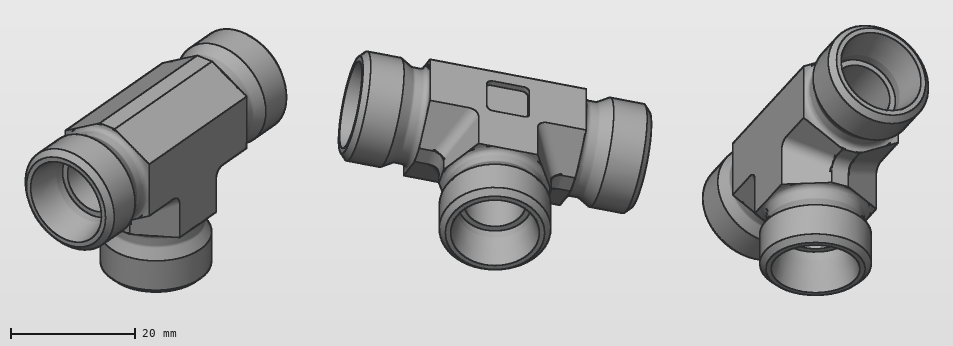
import cadquery as cq
import math

ARM_REACH = 24.0
BODY_REACH = 13.0

ACROSS_FLATS = 17.0
CORNER_FLAT_HEIGHT = 8.95
CROTCH_RADIUS = 2.0

THREAD_RADIUS = 18.0 / 2
THREAD_START = 17.45
END_CHAMFER = 1.0
NECK_RADIUS = 15.7 / 2
NECK_CONE_ANGLE = 30.0
NECK_CONE_FILLET = 0.8
SHOULDER_FILLET = 1.0

BORE_RADIUS = 10.0 / 2
SOCKET_RADIUS = 12.0 / 2
SOCKET_DEPTH = 7.0
CONE_MOUTH_RADIUS = 14.3 / 2
SEAT_HALF_ANGLE = 12.0

RECESS_SIZE = 7.1
RECESS_CORNER_RADIUS = 1.0
RECESS_DEPTH = 1.0
RECESS_CENTER_Z = -1.0

HALF_FLATS = ACROSS_FLATS / 2
SHOULDER_END = BODY_REACH + SHOULDER_FILLET
ORIGIN = (0, 0, 0)
LOCAL_AXIS_END = (0, 1, 0)
TOLERANCE = 1e-4


def hex_prism(length):
    """Hexagon with flats at +-X and truncated corners at +-Y, standing from Z = 0 upwards."""
    tan_30 = math.tan(math.radians(30))
    corner = HALF_FLATS / math.cos(math.radians(30))
    flat_edge = HALF_FLATS * tan_30
    corner_half_width = (corner - CORNER_FLAT_HEIGHT) / tan_30
    quarter = [(HALF_FLATS, flat_edge), (corner_half_width, CORNER_FLAT_HEIGHT)]
    upper = quarter + [(-x, y) for x, y in reversed(quarter)]
    lower = [(-x, -y) for x, y in upper]
    return cq.Workplane("XY").polyline(upper + lower).close().extrude(length)


def revolve_upright(profile):
    """Revolve a closed XZ half profile about the Z axis."""
    return profile.close().revolve(360, ORIGIN, LOCAL_AXIS_END)


def threaded_end():
    """Outside of one arm from the body end face outwards, pointing along +Z."""
    slope = math.radians(NECK_CONE_ANGLE)
    cone_start = THREAD_START - (THREAD_RADIUS - NECK_RADIUS) / math.tan(slope)
    tangent = NECK_CONE_FILLET * math.tan(slope / 2)
    fillet_bulge = NECK_CONE_FILLET * (1 - math.cos(slope / 2))
    fillet_mid = cone_start - tangent + NECK_CONE_FILLET * math.sin(slope / 2)
    fillet_end = cone_start + tangent * math.cos(slope)
    profile = (
        cq.Workplane("XZ")
        .moveTo(0, BODY_REACH)
        .lineTo(NECK_RADIUS, BODY_REACH)
        .lineTo(NECK_RADIUS, cone_start - tangent)
        .threePointArc(
            (NECK_RADIUS + fillet_bulge, fillet_mid),
            (NECK_RADIUS + tangent * math.sin(slope), fillet_end),
        )
        .lineTo(THREAD_RADIUS, THREAD_START)
        .lineTo(THREAD_RADIUS, ARM_REACH - END_CHAMFER)
        .lineTo(THREAD_RADIUS - END_CHAMFER, ARM_REACH)
        .lineTo(0, ARM_REACH)
    )
    return revolve_upright(profile)


def shoulder():
    """Flared fillet on the body end face, trimmed to the hexagon, pointing along +Z."""
    inset = SHOULDER_FILLET * (1 - math.sqrt(0.5))
    profile = (
        cq.Workplane("XZ")
        .moveTo(0, BODY_REACH)
        .lineTo(NECK_RADIUS + SHOULDER_FILLET, BODY_REACH)
        .threePointArc((NECK_RADIUS + inset, BODY_REACH + inset), (NECK_RADIUS, SHOULDER_END))
        .lineTo(0, SHOULDER_END)
    )
    return revolve_upright(profile).intersect(hex_prism(SHOULDER_END))


def arm_bore():
    """Bore, tube socket and sealing cone of one arm, pointing along +Z."""
    socket_floor = ARM_REACH - SOCKET_DEPTH
    cone_length = (CONE_MOUTH_RADIUS - SOCKET_RADIUS) / math.tan(math.radians(SEAT_HALF_ANGLE))
    profile = (
        cq.Workplane("XZ")
        .lineTo(BORE_RADIUS, 0)
        .lineTo(BORE_RADIUS, socket_floor)
        .lineTo(SOCKET_RADIUS, socket_floor)
        .lineTo(SOCKET_RADIUS, ARM_REACH - cone_length)
        .lineTo(CONE_MOUTH_RADIUS, ARM_REACH)
        .lineTo(0, ARM_REACH)
    )
    return revolve_upright(profile)


def on_arms(shape):
    """Copies of a +Z pointing shape turned onto the two run arms and the branch."""
    return [shape.rotate(ORIGIN, (1, 0, 0), angle) for angle in (90, -90, 180)]


def crotch_edges(body):
    """Edges where run and branch meet: centred on the mitre planes Z = -|Y|, off the middle plane."""
    edges = []
    for edge in body.edges().vals():
        center = edge.Center()
        off_mitre = abs(abs(center.y) + center.z)
        if off_mitre < TOLERANCE and abs(center.y) > TOLERANCE:
            edges.append(edge)
    return edges


def tee_body():
    """Hexagonal run and branch, filleted along the crotch between them."""
    front, back, branch = on_arms(hex_prism(BODY_REACH))
    body = front.union(back).union(branch).clean()
    return body.newObject(crotch_edges(body)).fillet(CROTCH_RADIUS)


def recess():
    """Shallow rounded square pocket on the -X flat, just below the run axis."""
    return (
        cq.Workplane("XY")
        .box(RECESS_DEPTH, RECESS_SIZE, RECESS_SIZE, centered=(False, True, True))
        .edges("|X")
        .fillet(RECESS_CORNER_RADIUS)
        .translate((-HALF_FLATS, 0, RECESS_CENTER_Z))
    )


result = tee_body()
for part in on_arms(shoulder()) + on_arms(threaded_end()):
    result = result.union(part)
for bore in on_arms(arm_bore()):
    result = result.cut(bore)
result = result.cut(recess())